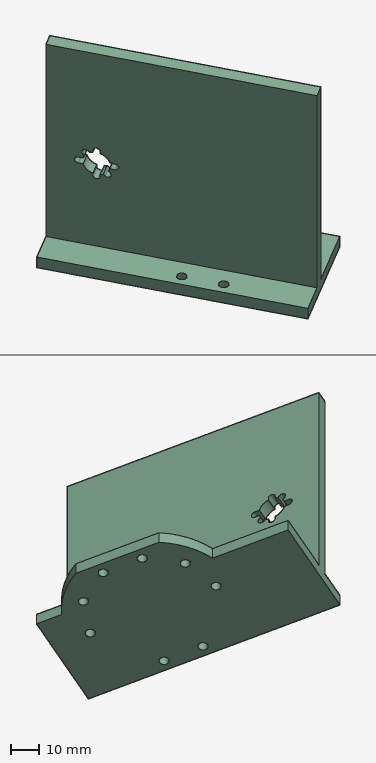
import cadquery as cq

width = 100.0
plate_thickness = 5.0
base_depth = 40.6
overall_depth = 56.0

ring_center = (60.0, 28.0)
lobe_radius = 32.5
ring_radius = 25.0
ring_hole_diameter = 3.6
ring_pitch_angle = 36.0
ring_hole_steps = (0, 1, 2, 3, 4, 5, 7, 8)

wall_front = 11.6
overall_height = 95.0

opening_center = (18.7, 43.7)
hub_diameter = 10.2
arm_width = 2.7
long_arm_span = 16.2
short_arm_span = 14.3
arms = ((long_arm_span, 0), (short_arm_span, 90), (short_arm_span, 135))


def make_base():
    base = cq.Workplane("XY").box(width, base_depth, plate_thickness, centered=False)
    lobe = cq.Workplane("XY").center(*ring_center).circle(lobe_radius).extrude(plate_thickness)
    lobe_limits = (
        cq.Workplane("XY")
        .box(width, overall_depth - base_depth, plate_thickness, centered=False)
        .translate((0, base_depth, 0))
    )
    return base.union(lobe.intersect(lobe_limits))


def make_wall():
    return (
        cq.Workplane("XY")
        .box(width, plate_thickness, overall_height, centered=False)
        .translate((0, wall_front, 0))
    )


def make_ring_holes():
    holes = cq.Workplane("XY")
    for step in ring_hole_steps:
        hole = (
            cq.Workplane("XY")
            .center(*ring_center)
            .polarArray(ring_radius, step * ring_pitch_angle, 360, 1)
            .circle(ring_hole_diameter / 2)
            .extrude(plate_thickness)
        )
        holes = holes.add(hole)
    return holes.combine()


def make_wall_opening():
    plane = cq.Workplane("XZ", origin=(0, wall_front, 0)).center(*opening_center)
    opening = plane.circle(hub_diameter / 2).extrude(-plate_thickness)
    for span, angle in arms:
        opening = opening.union(plane.slot2D(span, arm_width, angle).extrude(-plate_thickness))
    return opening


result = make_base().union(make_wall()).cut(make_ring_holes()).cut(make_wall_opening())